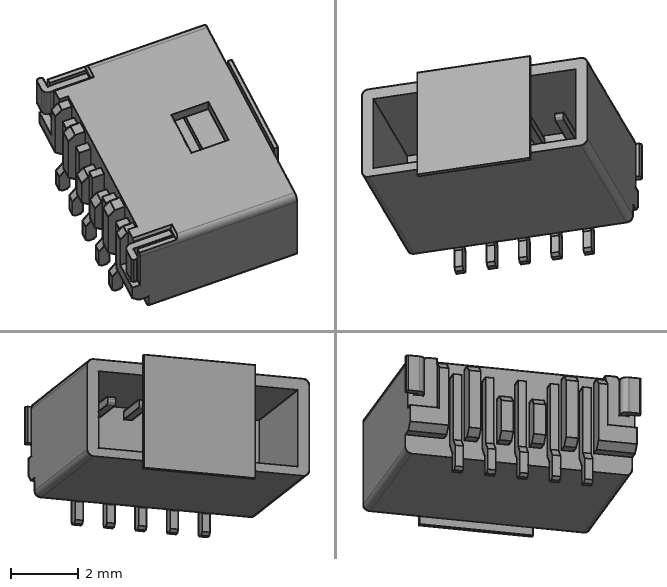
import cadquery as cq


pitch = 1.0
shell_width = 7.0
shell_height = 3.005
shell_depth = 4.81
edge_radius = 0.2
wall = 0.36
rear_wall = 1.27
lug_depth = 0.29
lug_inner_x = 2.6
half_width = shell_width / 2
rear_y = -shell_depth
lug_y = rear_y - lug_depth

window_width = 1.52
window_back_y = -1.05
window_front_y = -2.25
ramp_bottom_y = -1.115
ramp_top_y = -1.21
floor_step = ramp_bottom_y - ramp_top_y

rib_width = 0.37
rib_depth = 0.54
rib_bevel = 0.22
rib_bottom_z = 0.59
tall_rib_top_z = 2.845
short_rib_top_z = 1.99
ledge_z = 1.33
rib_y = rear_y - rib_depth
short_rib_x = pitch / 2
tall_rib_x = short_rib_x + pitch
end_rib_inner_x = tall_rib_x + pitch - rib_width / 2

contact_count = 5
contact_width = 0.25
contact_top_z = 2.53
contact_tip_y = -2.115
tip_radius = 0.08
blade_front_y = -5.19
bend_front_top_z = 0.42
bend_front_bottom_z = 0.16
bend_rear_top_z = 0.38
bend_rear_bottom_z = 0.06
foot_bottom_z = -0.6
foot_thickness = 0.35
foot_bevel = 0.095

front_y = -5.41
tab_thickness = 0.21
tab_span = 7.24
tab_top_z = 2.895
tab_bottom_z = 1.775
tab_end_bevel = 0.05
tab_leg_inner_x = 3.025
tab_leg_outer_x = tab_leg_inner_x + tab_thickness
tab_rear_y = -3.925
slot_rear_y = -3.9
slot_inner_x = 3.02
slot_outer_x = 3.315
recess_depth = 0.08

cover_side = 3.5
cover_thickness = 0.13


def block(x_range, y_range, z_range):
    """Box between two limits on each axis."""
    size = [high - low for low, high in (x_range, y_range, z_range)]
    corner = (x_range[0], y_range[0], z_range[0])
    return cq.Workplane("XY").box(*size, centered=False).translate(corner)


def profile_along_x(points, x_low, x_high):
    """Extrude an outline of (Y, Z) points between two X positions."""
    return cq.Workplane("YZ", origin=(x_low, 0, 0)).polyline(points).close().extrude(x_high - x_low)


def both_sides(right_half):
    """A feature on the +X side together with its mirror image."""
    return right_half.union(right_half.mirror("YZ"))


def make_shell():
    """Hollow block with rounded long edges, end lugs and ribs."""
    shell = block((-half_width, half_width), (lug_y, 0), (0, shell_height)).edges("|Y").fillet(edge_radius)
    shell = shell.cut(block((-lug_inner_x, lug_inner_x), (lug_y, rear_y), (0, shell_height)))
    shell = shell.cut(block((-half_width, half_width), (lug_y, rear_y), (0, ledge_z)))
    shell = shell.union(make_ribs())
    shell = shell.cut(make_cavity())
    window_x = window_width / 2
    return shell.cut(block((-window_x, window_x), (window_front_y, window_back_y),
                           (shell_height - wall, shell_height)))


def make_cavity():
    """Cavity open at the mouth, its floor dropping by a ramp near the mouth."""
    cavity_rear_y = rear_y + rear_wall
    cavity_points = [
        (cavity_rear_y, wall),
        (ramp_top_y, wall),
        (ramp_bottom_y, wall - floor_step),
        (0, wall - floor_step),
        (0, shell_height - wall),
        (cavity_rear_y, shell_height - wall),
    ]
    return profile_along_x(cavity_points, wall - half_width, half_width - wall)


def make_rib(x_low, x_high, top_z):
    """Upright rib with its outer edges bevelled at the top and the bottom."""
    rib_points = [
        (rear_y, rib_bottom_z),
        (rib_y + rib_bevel, rib_bottom_z),
        (rib_y, rib_bottom_z + rib_bevel),
        (rib_y, top_z - rib_bevel),
        (rib_y + rib_bevel, top_z),
        (rear_y, top_z),
    ]
    return profile_along_x(rib_points, x_low, x_high)


def make_ribs():
    """Short and tall ribs midway between contacts, and an L-shaped rib at each end."""
    end_rib = make_rib(end_rib_inner_x, half_width, tall_rib_top_z)
    end_rib = end_rib.cut(block((lug_inner_x, half_width), (rib_y, rear_y), (ledge_z, shell_height)))
    ribs = end_rib
    for center_x, top_z in ((short_rib_x, short_rib_top_z), (tall_rib_x, tall_rib_top_z)):
        ribs = ribs.union(make_rib(center_x - rib_width / 2, center_x + rib_width / 2, top_z))
    return both_sides(ribs)


def make_contact(center_x):
    """Contact running from its rounded tip in the cavity through the rear wall and down to its foot."""
    beam_bottom_z = contact_top_z - contact_width
    foot_rear_y = front_y + foot_thickness
    contact_points = [
        (contact_tip_y, contact_top_z),
        (contact_tip_y, beam_bottom_z),
        (rear_y, beam_bottom_z),
        (rear_y, bend_rear_top_z),
        (foot_rear_y, bend_rear_bottom_z),
        (foot_rear_y, foot_bottom_z + foot_bevel),
        (foot_rear_y - foot_bevel, foot_bottom_z),
        (front_y + foot_bevel, foot_bottom_z),
        (front_y, foot_bottom_z + foot_bevel),
        (front_y, bend_front_bottom_z),
        (blade_front_y, bend_front_top_z),
        (blade_front_y, contact_top_z),
    ]
    contact = profile_along_x(contact_points, center_x - contact_width / 2, center_x + contact_width / 2)
    return contact.faces(">Y").edges("|X").fillet(tip_radius)


def make_tab_slot():
    """Slot for the +X solder tab: a flared shallow recess with a groove below it."""
    recess_floor_z = shell_height - recess_depth
    flared_x = slot_inner_x - recess_depth
    flared_y = slot_rear_y + recess_depth
    recess = (
        cq.Workplane("XY", origin=(0, 0, recess_floor_z))
        .moveTo(slot_inner_x, lug_y)
        .lineTo(half_width, lug_y)
        .lineTo(half_width, slot_rear_y)
        .lineTo(slot_inner_x, slot_rear_y)
        .close()
        .workplane(offset=recess_depth)
        .moveTo(flared_x, lug_y)
        .lineTo(half_width, lug_y)
        .lineTo(half_width, flared_y)
        .lineTo(flared_x, flared_y)
        .close()
        .loft(ruled=True)
    )
    groove = block((slot_inner_x, slot_outer_x), (lug_y, slot_rear_y), (tab_bottom_z, recess_floor_z))
    return recess.union(groove)


def make_tab():
    """L-shaped +X solder tab: a leg in the slot and a foot bent outwards."""
    foot_rear_y = front_y + tab_thickness
    foot_end_x = tab_span / 2
    return (
        cq.Workplane("XY", origin=(0, 0, tab_bottom_z))
        .moveTo(tab_leg_inner_x, tab_rear_y)
        .lineTo(tab_leg_outer_x, tab_rear_y)
        .lineTo(tab_leg_outer_x, foot_rear_y)
        .lineTo(foot_end_x - tab_end_bevel, foot_rear_y)
        .lineTo(foot_end_x, foot_rear_y - tab_end_bevel)
        .lineTo(foot_end_x, front_y + tab_end_bevel)
        .lineTo(foot_end_x - tab_end_bevel, front_y)
        .lineTo(tab_leg_outer_x, front_y)
        .radiusArc((tab_leg_inner_x, foot_rear_y), tab_thickness)
        .close()
        .extrude(tab_top_z - tab_bottom_z)
    )


def make_connector():
    """Shell with its contacts and solder tabs, one solid."""
    connector = make_shell().cut(both_sides(make_tab_slot()))
    for index in range(contact_count):
        connector = connector.union(make_contact((index - (contact_count - 1) / 2) * pitch))
    return connector.union(both_sides(make_tab()))


def make_cover():
    """Square plate lying against the mouth face, centred on the shell."""
    half_side = cover_side / 2
    middle_z = shell_height / 2
    return block((-half_side, half_side), (0, cover_thickness), (middle_z - half_side, middle_z + half_side))


connector = make_connector()
cover = make_cover()
result = cq.Compound.makeCompound([connector.val(), cover.val()])